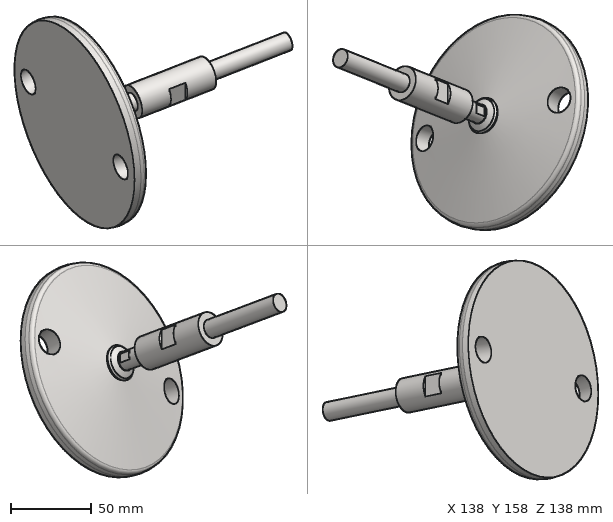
import cadquery as cq
import math


foot_diameter = 138.0
foot_radius = foot_diameter / 2
rim_draft = 0.5
widest_height = 4.3
shoulder_start_height = 7.1
shoulder_top_height = 9.8
shoulder_width = 2.4
foot_height = 19.1
seat_radius = 11.0

hole_diameter = 16.5
hole_offset = 52.6
hole_overrun = 15.8

total_length = 158.0
rod_diameter = 12.0
rod_flat_width = 10.5
rod_flat_start = 25.3
rod_flat_end = 33.2
sleeve_diameter = 22.0
sleeve_start = 43.1
sleeve_end = 98.1
sleeve_flat_width = 17.5
sleeve_flat_length = 12.2

collar_radius = 11.5
collar_widest_height = 20.4
collar_crown_mid = (8.5, 23.0)
collar_shoulder_radius = 10.5
collar_shoulder_height = 21.8
collar_top_height = 24.0
collar_top_radius = 6.3


def quarter_point(start, end):
    """Middle point of a convex quarter ellipse, upright at start and level at end."""
    half_diagonal = math.sqrt(0.5)
    return (
        end[0] + (start[0] - end[0]) * half_diagonal,
        start[1] + (end[1] - start[1]) * half_diagonal,
    )


def revolve_about_y(profile):
    return profile.close().revolve(360, (0, 0, 0), (0, 1, 0))


def make_foot():
    side_radius = foot_radius - rim_draft
    shoulder_start = (side_radius, shoulder_start_height)
    shoulder_top = (side_radius - shoulder_width, shoulder_top_height)
    profile = (
        cq.Workplane("XY")
        .lineTo(side_radius, 0)
        .lineTo(foot_radius, widest_height)
        .lineTo(*shoulder_start)
        .threePointArc(quarter_point(shoulder_start, shoulder_top), shoulder_top)
        .lineTo(seat_radius, foot_height)
        .lineTo(0, foot_height)
    )
    foot = revolve_about_y(profile)

    cone_rise = foot_height - shoulder_top_height
    cone_run = shoulder_top[0] - seat_radius
    hole_tilt = math.atan2(cone_rise, cone_run)
    for side in (-1, 1):
        hole_direction = cq.Vector(side * math.sin(hole_tilt), math.cos(hole_tilt), 0)
        underside_center = cq.Vector(side * hole_offset, 0, 0)
        cutter = cq.Solid.makeCylinder(
            hole_diameter / 2,
            foot_height + 2 * hole_overrun,
            underside_center - hole_direction * hole_overrun,
            hole_direction,
        )
        foot = foot.cut(cq.Workplane(obj=cutter))
    return foot


def cut_flats(body, stock_diameter, flat_width, start, end):
    """Cut a pair of opposite wrench flats facing -X and +X."""
    for side in (-1, 1):
        cutter = cq.Workplane("XY").box(stock_diameter, end - start, 2 * stock_diameter)
        cutter_x = side * (flat_width + stock_diameter) / 2
        body = body.cut(cutter.translate((cutter_x, (start + end) / 2, 0)))
    return body


def make_spindle():
    rod_radius = rod_diameter / 2
    sleeve_radius = sleeve_diameter / 2
    profile = (
        cq.Workplane("XY")
        .moveTo(0, foot_height)
        .lineTo(seat_radius, foot_height)
        .lineTo(collar_radius, collar_widest_height)
        .lineTo(collar_shoulder_radius, collar_shoulder_height)
        .threePointArc(collar_crown_mid, (collar_top_radius, collar_top_height))
        .lineTo(rod_radius, collar_top_height)
        .lineTo(rod_radius, sleeve_start)
        .lineTo(sleeve_radius, sleeve_start)
        .lineTo(sleeve_radius, sleeve_end)
        .lineTo(rod_radius, sleeve_end)
        .lineTo(rod_radius, total_length)
        .lineTo(0, total_length)
    )
    spindle = revolve_about_y(profile)

    spindle = cut_flats(spindle, rod_diameter, rod_flat_width, rod_flat_start, rod_flat_end)
    sleeve_middle = (sleeve_start + sleeve_end) / 2
    return cut_flats(
        spindle,
        sleeve_diameter,
        sleeve_flat_width,
        sleeve_middle - sleeve_flat_length / 2,
        sleeve_middle + sleeve_flat_length / 2,
    )


foot = make_foot()
spindle = make_spindle()
result = cq.Compound.makeCompound([foot.val(), spindle.val()])